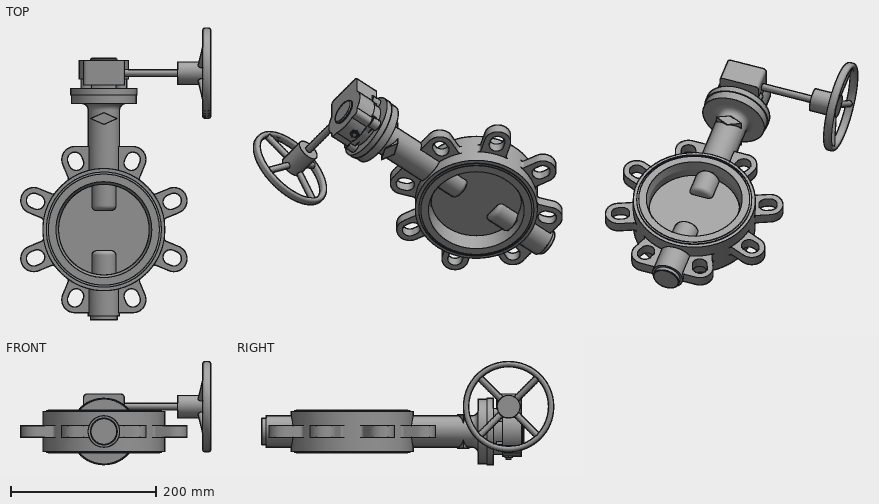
import cadquery as cq
import math


ring_radius = 84.0
ring_half_width = 27.8
face_half_width = 29.8
face_radius = 79.3
face_step_radius = 76.5
face_step_height = 1.0
bore_radius = 66.0
seat_radius = 62.5
seat_start = 17.5
disc_half_thickness = 5.0

lug_count = 8
lug_angle = 360 / lug_count
first_lug_angle = lug_angle / 2
bolt_circle_radius = 102.0
slot_half_travel = 2.6
slot_radius = 10.0
lug_radius = 18.0
lug_half_thickness = 8.0
lug_root_fillet = 4.0

hub_radius = 17.5
hub_fillet = 6.5
upper_hub_end = 26.0
lower_hub_end = 29.0
neck_radius = 21.7
neck_fillet = 9.0
valve_flange_start = 173.5
flange_joint = 185.5
valve_flange_radius = 44.5
lower_boss_end = -118.7
plug_end = -124.8
plug_radius = 18.5
plug_chamfer = 1.0

pad_center = 153.0
pad_half_width = 18.0
pad_half_length = 8.0
pad_height = 23.5

gear_flange_radius = 46.0
gear_flange_end = 194.5
foot_radius = 31.5
drum_start = 207.3
drum_end = 233.0
drum_radius = 34.2
box_start = 199.0
box_half_width = 28.0
box_top = 52.0
box_bottom = -29.8
box_fillet = 5.5
bolt_boss_offset = 24.0
bolt_boss_radius = 7.5
cap_radius = 18.0
cap_height = 3.2
cap_chamfer = 1.5

screw_flats = 10.5
screw_head_height = 6.0
screw_tip_radius = 3.5
screw_tip_height = 2.5

wheel_y = 215.5
wheel_z = 34.2
stem_radius = 5.0
wheel_hub_radius = 15.5
wheel_hub_start = 101.5
wheel_hub_end = 139.0
rim_outer_radius = 62.5
rim_thickness = 7.5
rim_width = 11.3
rim_end = 147.5
spoke_count = 4
first_spoke_angle = 45
spoke_radius = 4.5
spoke_inner_reach = 12.0
spoke_inner_x = 133.5


def cylinder_y(radius, start, end, x=0, z=0):
    """Cylinder along Y between two Y positions."""
    return cq.Workplane("XZ", origin=(x, start, z)).circle(radius).extrude(start - end)


def cylinder_x(radius, start, end):
    """Cylinder along the handwheel axis between two X positions."""
    return cq.Workplane("YZ", origin=(start, wheel_y, wheel_z)).circle(radius).extrude(end - start)


def radial_slot(radius, inner, outer, angle):
    """Round-ended bar along a radius, with its end centres at the two given distances."""
    return (
        cq.Workplane("XY", origin=(0, 0, -lug_half_thickness))
        .center((inner + outer) / 2, 0)
        .slot2D(outer - inner + 2 * radius, 2 * radius)
        .extrude(2 * lug_half_thickness)
        .rotate((0, 0, 0), (0, 0, 1), angle)
    )


def make_lugs():
    """Lug plate: eight radial lugs, with each pair beside the shaft joined by a straight web."""
    slot_outer = bolt_circle_radius + slot_half_travel
    slot_inner = bolt_circle_radius - slot_half_travel
    web_half_width = slot_outer * math.sin(math.radians(first_lug_angle))
    web_end = slot_outer * math.cos(math.radians(first_lug_angle)) + lug_radius
    plate = cq.Workplane("XY").circle(ring_radius).extrude(lug_half_thickness, both=True)
    plate = plate.union(cq.Workplane("XY").box(2 * web_half_width, 2 * web_end, 2 * lug_half_thickness))
    lug_angles = [first_lug_angle + i * lug_angle for i in range(lug_count)]
    for angle in lug_angles:
        plate = plate.union(radial_slot(lug_radius, bore_radius, slot_outer, angle))
    root_reach = ring_radius + 0.5
    roots = cq.selectors.BoxSelector(
        (-root_reach, -root_reach, -lug_half_thickness),
        (root_reach, root_reach, lug_half_thickness),
    )
    plate = plate.edges("|Z").edges(roots).fillet(lug_root_fillet)
    for angle in lug_angles:
        plate = plate.cut(radial_slot(slot_radius, slot_inner, slot_outer, angle))
    return plate


def make_ring():
    """Ring outside with a stepped sealing face on each side."""
    ring = cq.Workplane("XY").circle(ring_radius).extrude(ring_half_width, both=True)
    step = cq.Workplane("XY").circle(face_radius).extrude(face_half_width - face_step_height, both=True)
    face = cq.Workplane("XY").circle(face_step_radius).extrude(face_half_width, both=True)
    return ring.union(step).union(face)


def make_bore():
    """Bore on the +Z side: tapering inward, then straight at the seat around the closed disc."""
    return (
        cq.Workplane("XZ")
        .moveTo(0, disc_half_thickness)
        .lineTo(seat_radius, disc_half_thickness)
        .lineTo(seat_radius, seat_start)
        .lineTo(bore_radius, face_half_width)
        .lineTo(0, face_half_width)
        .close()
        .revolve(360, (0, 0, 0), (0, 1, 0))
    )


def make_neck():
    """Upper neck that flares into the mounting flange."""
    return (
        cq.Workplane("XY")
        .moveTo(0, bore_radius)
        .lineTo(neck_radius, bore_radius)
        .lineTo(neck_radius, valve_flange_start - neck_fillet)
        .tangentArcPoint((neck_fillet, neck_fillet))
        .lineTo(valve_flange_radius, valve_flange_start)
        .lineTo(valve_flange_radius, flange_joint)
        .lineTo(0, flange_joint)
        .close()
        .revolve(360, (0, 0, 0), (0, 1, 0))
    )


def make_lower_boss():
    """Lower shaft boss closed by a chamfered plug."""
    plug = cylinder_y(plug_radius, lower_boss_end, plug_end).faces("<Y").chamfer(plug_chamfer)
    return cylinder_y(neck_radius, -bore_radius, lower_boss_end).union(plug)


def make_pads():
    """Diamond pads standing on both sides of the neck."""
    return (
        cq.Workplane("XY", origin=(0, pad_center, 0))
        .polyline([(pad_half_width, 0), (0, pad_half_length), (-pad_half_width, 0), (0, -pad_half_length)])
        .close()
        .extrude(pad_height, both=True)
    )


def make_valve_body():
    upper_hub = cylinder_y(hub_radius, ring_radius, upper_hub_end).faces("<Y").edges().fillet(hub_fillet)
    lower_hub = cylinder_y(hub_radius, -ring_radius, -lower_hub_end).faces(">Y").edges().fillet(hub_fillet)
    bore = make_bore()
    return (
        make_ring()
        .union(make_lugs())
        .union(make_neck())
        .union(make_lower_boss())
        .union(make_pads())
        .cut(bore)
        .cut(bore.mirror("XY"))
        .union(upper_hub)
        .union(lower_hub)
    )


def make_gear_housing():
    """Flange, drum and worm box, with four bolt bosses and an end cap."""
    box_middle = (box_top + box_bottom) / 2
    housing = cylinder_y(gear_flange_radius, flange_joint, gear_flange_end)
    housing = housing.union(cylinder_y(foot_radius, gear_flange_end, drum_start))
    housing = housing.union(cylinder_y(drum_radius, drum_start, drum_end))
    box = (
        cq.Workplane("XZ", origin=(0, drum_end, box_middle))
        .rect(2 * box_half_width, box_top - box_bottom)
        .extrude(drum_end - box_start)
        .edges("|Y")
        .fillet(box_fillet)
    )
    housing = housing.union(box)
    for x in (-bolt_boss_offset, bolt_boss_offset):
        for z in (-bolt_boss_offset, bolt_boss_offset):
            housing = housing.union(cylinder_y(bolt_boss_radius, gear_flange_end, drum_start, x, z))
    cap = cylinder_y(cap_radius, drum_end, drum_end + cap_height).faces(">Y").chamfer(cap_chamfer)
    return housing.union(cap)


def make_stop_screw():
    """Hexagon screw with a round tip under the housing, corners toward X."""
    corner_diameter = screw_flats / math.cos(math.radians(30))
    return (
        cq.Workplane("XY", origin=(0, wheel_y, box_bottom))
        .polygon(6, corner_diameter)
        .extrude(-screw_head_height)
        .faces("<Z")
        .workplane()
        .circle(screw_tip_radius)
        .extrude(screw_tip_height)
    )


def make_handwheel():
    """Stem, hub, dished spokes and round-edged rim."""
    rim_middle_radius = rim_outer_radius - rim_thickness / 2
    rim_middle_x = rim_end - rim_width / 2
    wheel = cylinder_x(stem_radius, 0, wheel_hub_start)
    wheel = wheel.union(cylinder_x(wheel_hub_radius, wheel_hub_start, wheel_hub_end))
    rim = (
        cq.Workplane("XZ", origin=(rim_middle_x, wheel_y, wheel_z + rim_middle_radius))
        .slot2D(rim_width, rim_thickness)
        .revolve(360, (0, -rim_middle_radius, 0), (1, -rim_middle_radius, 0))
    )
    wheel = wheel.union(rim)
    axis_point = cq.Vector(0, wheel_y, wheel_z)
    run = cq.Vector(rim_middle_x - spoke_inner_x, 0, rim_middle_radius - spoke_inner_reach)
    start = cq.Vector(spoke_inner_x, wheel_y, wheel_z + spoke_inner_reach)
    spoke = cq.Workplane(cq.Solid.makeCylinder(spoke_radius, run.Length, start, run))
    for i in range(spoke_count):
        angle = first_spoke_angle + i * 360 / spoke_count
        wheel = wheel.union(spoke.rotate(axis_point, axis_point + cq.Vector(4, 0, 0), angle))
    return wheel


def make_gear_operator():
    return make_gear_housing().union(make_stop_screw()).union(make_handwheel())


valve_body = make_valve_body()
gear_operator = make_gear_operator()

result = cq.Compound.makeCompound([valve_body.val(), gear_operator.val()])